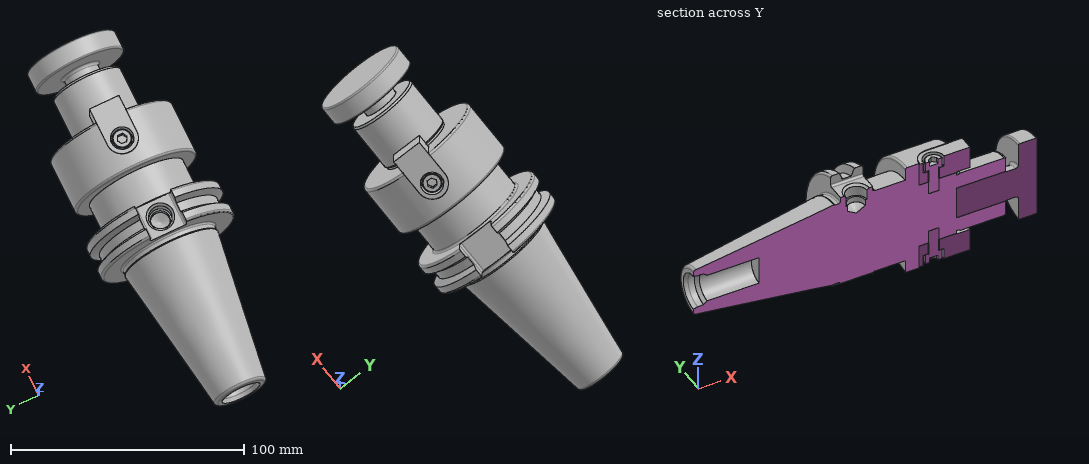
import cadquery as cq
import math


taper_length = 68.4
gauge_radius = 44.45 / 2
taper_slope = 7 / 48
small_end_radius = gauge_radius - taper_length * taper_slope
small_end_fillet = 1.4
relief_depth = 0.3
relief_radius = gauge_radius - relief_depth
relief_end_x = 0.5
relief_fillet = 0.8

flange_radius = 63.5 / 2
flange_start_x = 3.2
flange_end_x = 19.0
flange_edge_fillet = 1.0
groove_center_x = 11.1
groove_floor_radius = 56.3 / 2
groove_floor_half_width = 2.1
groove_mouth_half_width = 3.7

neck_radius = 44.8 / 2
neck_fillet = 1.0
collar_radius = 58 / 2
collar_start_x = 34.8
collar_end_x = 60.0
collar_edge_fillet = 1.0
spigot_radius = 32 / 2
spigot_length = 24.0
spigot_end_x = collar_end_x + spigot_length
spigot_chamfer_length = 1.0
spigot_chamfer_depth = 0.5
undercut_depth = 0.5
undercut_radius = spigot_radius - undercut_depth
undercut_flat = 1.0
undercut_length = 1.65

slot_half_width = 8.62
slot_corner_fillet = 1.0
upper_slot_floor = 25.0
lower_slot_floor = 22.8

flange_hole_x = (flange_start_x + flange_end_x) / 2
flange_hole_mouth_radius = 12.2 / 2
flange_hole_radius = 10.13 / 2
flange_hole_depth = 6.0
flange_hole_core_radius = 8.5 / 2
flange_hole_core_depth = 9.0
drill_half_angle = math.radians(59)

bore_mouth_radius = 18 / 2
bore_radius = 16.8 / 2
bore_core_radius = 13.84 / 2
bore_mouth_depth = 2.0
bore_depth = 5.0
bore_cone_length = 1.7
bore_core_depth = 32.0

key_width = 14.0
key_angles = (0, 180)
key_overhang = 6.5
key_end_x = collar_end_x + key_overhang
key_screw_x = 48.8
key_bottom_z = 17.0
key_top_z = 28.45
key_counterbore_radius = 10 / 2
key_hole_radius = 5.51 / 2

screw_head_radius = 8.5 / 2
screw_head_height = 5.0
screw_head_recess = 0.5
screw_head_top_z = key_top_z - screw_head_recess
screw_head_chamfer = 0.4
screw_head_bottom_z = screw_head_top_z - screw_head_height
screw_shank_radius = 5 / 2
screw_tip_z = 10.5
screw_socket_width = 4.0
screw_socket_depth = 2.5

clamp_shank_radius = 16 / 2
clamp_shank_engagement = 24.0
clamp_shank_start_x = spigot_end_x - clamp_shank_engagement
clamp_head_gap = 6.0
clamp_head_start_x = spigot_end_x + clamp_head_gap
clamp_head_end_x = 99.2
clamp_head_radius = 42 / 2
clamp_head_fillet = 0.7
clamp_root_fillet = 1.3



def revolve_about_x(outline):
    return outline.close().revolve(360, (0, 0, 0), (1, 0, 0))


def cylinder_along_x(radius, start_x, end_x):
    return cq.Workplane("YZ", origin=(start_x, 0, 0)).circle(radius).extrude(end_x - start_x)


def cylinder_along_z(x, radius, bottom_z, top_z):
    return cq.Workplane("XY", origin=(x, 0, bottom_z)).circle(radius).extrude(top_z - bottom_z)


def root_fillet(corner_x, shaft_radius, fillet, direction):
    """Ring that rounds the corner between a shaft and a face at corner_x.

    The direction along X, 1 or -1, is the way the shaft runs from the face.
    """
    reach = fillet * (1 - math.sqrt(0.5))
    outline = (
        cq.Workplane("XY")
        .moveTo(corner_x, 0)
        .lineTo(corner_x, shaft_radius + fillet)
        .threePointArc(
            (corner_x + direction * reach, shaft_radius + reach),
            (corner_x + direction * fillet, shaft_radius),
        )
        .lineTo(corner_x + direction * fillet, 0)
    )
    return revolve_about_x(outline)


def taper_shank():
    outline = (
        cq.Workplane("XY")
        .moveTo(-taper_length, 0)
        .lineTo(-taper_length, small_end_radius)
        .lineTo(0, gauge_radius)
        .lineTo(relief_end_x, relief_radius)
        .lineTo(flange_start_x, relief_radius)
        .lineTo(flange_start_x, 0)
    )
    shank = revolve_about_x(outline).faces("<X").edges().fillet(small_end_fillet)
    return shank.union(root_fillet(flange_start_x, relief_radius, relief_fillet, -1))


def drive_slot(floor_z, side):
    """Cutter for a slot across the flange rim; side is 1 for +Z and -1 for -Z."""
    return (
        cq.Workplane("YZ", origin=(flange_start_x, 0, 0))
        .center(0, side * (floor_z + flange_radius / 2))
        .rect(2 * slot_half_width, flange_radius)
        .extrude(flange_end_x - flange_start_x)
        .faces("<Z" if side > 0 else ">Z")
        .edges("|X")
        .fillet(slot_corner_fillet)
    )


def flange_hole():
    """Cutter for the countersunk, stepped hole with a drill-point bottom."""
    floor_z = upper_slot_floor
    step_z = floor_z - flange_hole_depth
    core_z = floor_z - flange_hole_core_depth
    countersink_depth = flange_hole_mouth_radius - flange_hole_radius
    outline = (
        cq.Workplane("XZ", origin=(flange_hole_x, 0, 0))
        .moveTo(0, floor_z)
        .lineTo(flange_hole_mouth_radius, floor_z)
        .lineTo(flange_hole_radius, floor_z - countersink_depth)
        .lineTo(flange_hole_radius, step_z)
        .lineTo(flange_hole_core_radius, step_z)
        .lineTo(flange_hole_core_radius, core_z)
        .lineTo(0, core_z - flange_hole_core_radius / math.tan(drill_half_angle))
        .close()
    )
    return outline.revolve(360, (0, 0, 0), (0, 1, 0))


def gripper_flange():
    outline = (
        cq.Workplane("XY")
        .moveTo(flange_start_x, 0)
        .lineTo(flange_start_x, flange_radius)
        .lineTo(groove_center_x - groove_mouth_half_width, flange_radius)
        .lineTo(groove_center_x - groove_floor_half_width, groove_floor_radius)
        .lineTo(groove_center_x + groove_floor_half_width, groove_floor_radius)
        .lineTo(groove_center_x + groove_mouth_half_width, flange_radius)
        .lineTo(flange_end_x, flange_radius)
        .lineTo(flange_end_x, 0)
    )
    flange = revolve_about_x(outline).faces("<X or >X").edges().fillet(flange_edge_fillet)
    return flange.cut(drive_slot(upper_slot_floor, 1)).cut(drive_slot(lower_slot_floor, -1))


def neck():
    shaft = cylinder_along_x(neck_radius, flange_end_x, collar_start_x)
    return shaft.union(root_fillet(flange_end_x, neck_radius, neck_fillet, 1))


def collar():
    blank = cylinder_along_x(collar_radius, collar_start_x, collar_end_x)
    return blank.edges().fillet(collar_edge_fillet)


def spigot():
    outline = (
        cq.Workplane("XY")
        .moveTo(collar_end_x, 0)
        .lineTo(collar_end_x, undercut_radius)
        .lineTo(collar_end_x + undercut_flat, undercut_radius)
        .lineTo(collar_end_x + undercut_length, spigot_radius)
        .lineTo(spigot_end_x - spigot_chamfer_length, spigot_radius)
        .lineTo(spigot_end_x, spigot_radius - spigot_chamfer_depth)
        .lineTo(spigot_end_x, 0)
    )
    return revolve_about_x(outline)


def draw_bar_bore():
    outline = (
        cq.Workplane("XY")
        .moveTo(-taper_length, 0)
        .lineTo(-taper_length, bore_mouth_radius)
        .lineTo(-taper_length + bore_mouth_depth, bore_radius)
        .lineTo(-taper_length + bore_depth, bore_radius)
        .lineTo(-taper_length + bore_depth + bore_cone_length, bore_core_radius)
        .lineTo(-taper_length + bore_core_depth, bore_core_radius)
        .lineTo(-taper_length + bore_core_depth, 0)
    )
    return revolve_about_x(outline)


def key_blank():
    """Round-ended block that fills the key seat of the upper key."""
    block_length = key_end_x - key_screw_x
    block = (
        cq.Workplane("XY", origin=(key_screw_x + block_length / 2, 0, key_bottom_z))
        .rect(block_length, key_width)
        .extrude(key_top_z - key_bottom_z)
    )
    return block.union(cylinder_along_z(key_screw_x, key_width / 2, key_bottom_z, key_top_z))


def key_seat():
    """Key blank carried up past the collar surface, so that it cuts the seat open."""
    top_face = key_blank().faces(">Z").wires().toPending()
    return key_blank().union(top_face.workplane().extrude(collar_radius - key_top_z))


def drive_key():
    counterbore = cylinder_along_z(key_screw_x, key_counterbore_radius, screw_head_bottom_z, key_top_z)
    hole = cylinder_along_z(key_screw_x, key_hole_radius, key_bottom_z, key_top_z)
    return key_blank().cut(counterbore).cut(hole)


def key_screw():
    head = cylinder_along_z(key_screw_x, screw_head_radius, screw_head_bottom_z, screw_head_top_z)
    head = head.faces(">Z").edges().chamfer(screw_head_chamfer)
    socket = (
        cq.Workplane("XY", origin=(key_screw_x, 0, screw_head_top_z))
        .polygon(6, screw_socket_width, circumscribed=True)
        .extrude(-screw_socket_depth)
    )
    shank = cylinder_along_z(key_screw_x, screw_shank_radius, screw_tip_z, screw_head_bottom_z)
    return head.union(shank).cut(socket)


def screw_hole():
    return cylinder_along_z(key_screw_x, screw_shank_radius, screw_tip_z, key_bottom_z)


def clamping_screw():
    head = cylinder_along_x(clamp_head_radius, clamp_head_start_x, clamp_head_end_x)
    head = head.edges().fillet(clamp_head_fillet)
    shank = cylinder_along_x(clamp_shank_radius, clamp_shank_start_x, clamp_head_start_x)
    return head.union(shank).union(
        root_fillet(clamp_head_start_x, clamp_shank_radius, clamp_root_fillet, -1)
    )


def turned_about_x(body, angle):
    return body.rotate((0, 0, 0), (1, 0, 0), angle)


def arbor_body():
    body = taper_shank().union(gripper_flange()).union(neck()).union(collar()).union(spigot())
    body = body.cut(draw_bar_bore()).cut(flange_hole())
    body = body.cut(cylinder_along_x(clamp_shank_radius, clamp_shank_start_x, spigot_end_x))
    for angle in key_angles:
        body = body.cut(turned_about_x(key_seat(), angle))
        body = body.cut(turned_about_x(screw_hole(), angle))
    return body


arbor = arbor_body()
drive_keys = [turned_about_x(drive_key(), angle) for angle in key_angles]
key_screws = [turned_about_x(key_screw(), angle) for angle in key_angles]
clamp = clamping_screw()

result = cq.Compound.makeCompound(
    [
        arbor.val(),
        *[key.val() for key in drive_keys],
        *[screw.val() for screw in key_screws],
        clamp.val(),
    ]
)